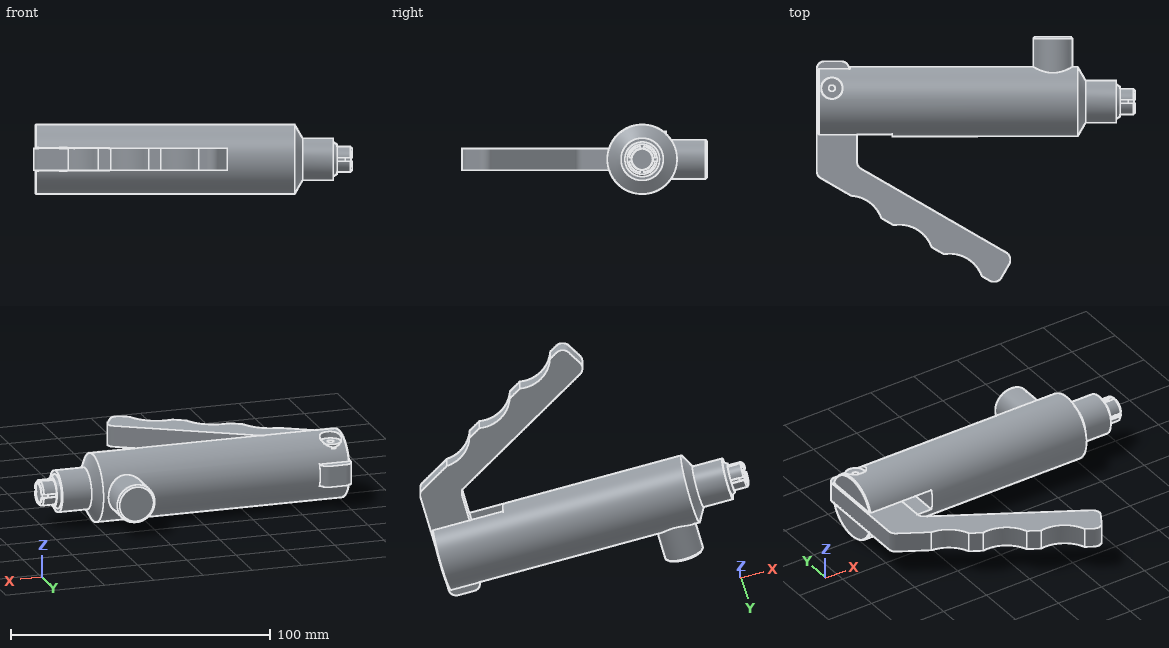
import cadquery as cq
import math

BODY_DIA = 26.9
BODY_START = 0.6
BODY_END = 100.7
REAR_CHAMFER = 0.4
NECK_DIA = 16.4
NECK_START = 103.8
NECK_END = 115.6
COLLAR_DIA = 13.4
COLLAR_FRONT_DIA = 11.5
COLLAR_END = 117.0
NOSE_DIA = 10.1
NOSE_END = 123.0
NOSE_CHAMFER = 0.9

CORE_DIA = 8.0
CORE_RECESS = 0.5
NOSE_SLOT_WIDTH = 1.4
NOSE_SLOT_COUNT = 4
SLOT_STEP_X = 120.3
FLAT_FLOOR_RADIUS = 4.3

PORT_DIA = 15.2
PORT_X = 91.1
PORT_TOP = 25.1
PORT_CHAMFER = 0.7

LEVER_THICKNESS = 8.5
CLEARANCE = 0.2
HEAD_TOP = 15.6
HEAD_WIDTH = 12.5
ARM_WIDTH = 15.6
INNER_CORNER_Y = -25.0
OUTER_CORNER_Y = -28.6
GRIP_ANGLE = 30.0
GRIP_LENGTH = 69.7
GRIP_THICKNESS = 12.7
HEAD_FILLET = 3.1
KNEE_FILLET = 3.1
GRIP_END_FILLET = 3.3
SLOT_LENGTH = 29.1

GROOVE_COUNT = 3
GROOVE_LENGTH = 16.8
GROOVE_PITCH = 22.4
GROOVE_DEPTH = 3.1
LAST_LAND = 6.9

PIN_X = 5.9
PIN_Y = 5.2
PIN_DIA = 8.1
PIN_HOLE_DIA = 8.4
PIN_TOP = 10.8
PIN_BOTTOM = -7.4
PIN_HOLE_FLOOR = 9.1
PIN_CENTRE_DIA = 2.5
PIN_CENTRE_DEPTH = 1.2


def make_body():
    """Barrel, cone, neck, collar and nose as one revolved profile."""
    body_radius = BODY_DIA / 2
    nose_radius = NOSE_DIA / 2
    return (
        cq.Workplane("XY")
        .moveTo(BODY_START, 0)
        .lineTo(BODY_START, body_radius - REAR_CHAMFER)
        .lineTo(BODY_START + REAR_CHAMFER, body_radius)
        .lineTo(BODY_END, body_radius)
        .lineTo(NECK_START, NECK_DIA / 2)
        .lineTo(NECK_END, NECK_DIA / 2)
        .lineTo(NECK_END, COLLAR_DIA / 2)
        .lineTo(COLLAR_END, COLLAR_FRONT_DIA / 2)
        .lineTo(COLLAR_END, nose_radius)
        .lineTo(NOSE_END - NOSE_CHAMFER, nose_radius)
        .lineTo(NOSE_END, nose_radius - NOSE_CHAMFER)
        .lineTo(NOSE_END, 0)
        .close()
        .revolve(360, (0, 0, 0), (1, 0, 0))
    )


def cylinder_along_x(diameter, start, end):
    return cq.Workplane("YZ", origin=(start, 0, 0)).circle(diameter / 2).extrude(end - start)


def make_nose_cuts():
    """End recess and radial slots that leave the round core standing."""
    cuts = cylinder_along_x(CORE_DIA, NOSE_END - CORE_RECESS, NOSE_END)
    core = cylinder_along_x(CORE_DIA, COLLAR_END, NOSE_END)
    rear_length = SLOT_STEP_X - COLLAR_END
    front_length = NOSE_END - SLOT_STEP_X
    for index in range(NOSE_SLOT_COUNT):
        rear = cq.Workplane("XY").box(
            rear_length, NOSE_SLOT_WIDTH, NOSE_DIA, centered=(False, True, False)
        ).translate((COLLAR_END, 0, FLAT_FLOOR_RADIUS))
        front = cq.Workplane("XY").box(
            front_length, NOSE_SLOT_WIDTH, NOSE_DIA, centered=(False, True, False)
        ).translate((SLOT_STEP_X, 0, 0)).cut(core)
        slot = rear.union(front)
        cuts = cuts.union(slot.rotate((0, 0, 0), (1, 0, 0), index * 360 / NOSE_SLOT_COUNT))
    return cuts


def make_port():
    port = cq.Workplane("XZ", origin=(PORT_X, 0, 0)).circle(PORT_DIA / 2).extrude(-PORT_TOP)
    return port.faces(">Y").chamfer(PORT_CHAMFER)


def grip_point(along, across):
    """Point measured from the inner corner, along the grip and across towards its grooves."""
    angle = math.radians(GRIP_ANGLE)
    x = ARM_WIDTH + along * math.cos(angle) - across * math.sin(angle)
    y = INNER_CORNER_Y - along * math.sin(angle) - across * math.cos(angle)
    return (x, y)


def make_lever():
    shoulder_y = -CLEARANCE
    outer_corner = (0, OUTER_CORNER_Y)
    grip_end_corners = [grip_point(GRIP_LENGTH, 0), grip_point(GRIP_LENGTH, GRIP_THICKNESS)]

    angle = math.radians(GRIP_ANGLE)
    arm_thickness = (
        (INNER_CORNER_Y - OUTER_CORNER_Y) * math.cos(angle) + ARM_WIDTH * math.sin(angle)
    )
    radius = (GROOVE_LENGTH ** 2 / 4 + GROOVE_DEPTH ** 2) / (2 * GROOVE_DEPTH)
    arc_centre_across = GRIP_THICKNESS - GROOVE_DEPTH + radius
    edge_half_chord = math.sqrt(radius ** 2 - (arc_centre_across - arm_thickness) ** 2)

    outline = (
        cq.Workplane("XY", origin=(0, 0, -LEVER_THICKNESS / 2))
        .moveTo(0, HEAD_TOP)
        .lineTo(HEAD_WIDTH, HEAD_TOP)
        .lineTo(HEAD_WIDTH, shoulder_y)
        .lineTo(ARM_WIDTH, shoulder_y)
        .lineTo(ARM_WIDTH, INNER_CORNER_Y)
        .lineTo(*grip_end_corners[0])
        .lineTo(*grip_end_corners[1])
    )
    last_middle = GRIP_LENGTH - LAST_LAND - GROOVE_LENGTH / 2
    for index in range(GROOVE_COUNT):
        middle = last_middle - index * GROOVE_PITCH
        is_first_groove = index == GROOVE_COUNT - 1
        near_end = grip_point(middle - GROOVE_LENGTH / 2, GRIP_THICKNESS)
        if is_first_groove:
            near_end = grip_point(middle - edge_half_chord, arm_thickness)
        outline = (
            outline.lineTo(*grip_point(middle + GROOVE_LENGTH / 2, GRIP_THICKNESS))
            .threePointArc(grip_point(middle, GRIP_THICKNESS - GROOVE_DEPTH), near_end)
        )
    lever = outline.lineTo(*outer_corner).close().extrude(LEVER_THICKNESS)

    rounded_corners = [
        ((0, HEAD_TOP), HEAD_FILLET),
        ((HEAD_WIDTH, HEAD_TOP), HEAD_FILLET),
        (outer_corner, KNEE_FILLET),
        ((ARM_WIDTH, INNER_CORNER_Y), KNEE_FILLET),
        (grip_end_corners[0], GRIP_END_FILLET),
        (grip_end_corners[1], GRIP_END_FILLET),
    ]
    for (x, y), fillet_radius in rounded_corners:
        corner = cq.selectors.NearestToPointSelector((x, y, 0))
        lever = lever.edges("|Z").edges(corner).fillet(fillet_radius)
    return lever


def make_lever_slot():
    """Slot through the rear of the body, longer on the side the lever swings towards."""
    height = LEVER_THICKNESS + 2 * CLEARANCE
    head_slot = cq.Workplane("XY").box(
        HEAD_WIDTH + CLEARANCE, 2 * BODY_DIA, height, centered=(False, True, True)
    )
    arm_slot = cq.Workplane("XY").box(
        SLOT_LENGTH, BODY_DIA, height, centered=(False, False, True)
    ).translate((0, -BODY_DIA, 0))
    return head_slot.union(arm_slot)


def cylinder_along_z(diameter, bottom, top):
    plane = cq.Workplane("XY", origin=(PIN_X, PIN_Y, bottom))
    return plane.circle(diameter / 2).extrude(top - bottom)


body = make_body().union(make_port())
body = body.cut(make_nose_cuts())
body = body.cut(make_lever_slot())
body = body.cut(cylinder_along_z(PIN_HOLE_DIA, PIN_HOLE_FLOOR, BODY_DIA))

pin = cylinder_along_z(PIN_DIA, PIN_BOTTOM, PIN_TOP)
pin = pin.cut(cylinder_along_z(PIN_CENTRE_DIA, PIN_TOP - PIN_CENTRE_DEPTH, PIN_TOP))

result = body.union(make_lever()).union(pin)